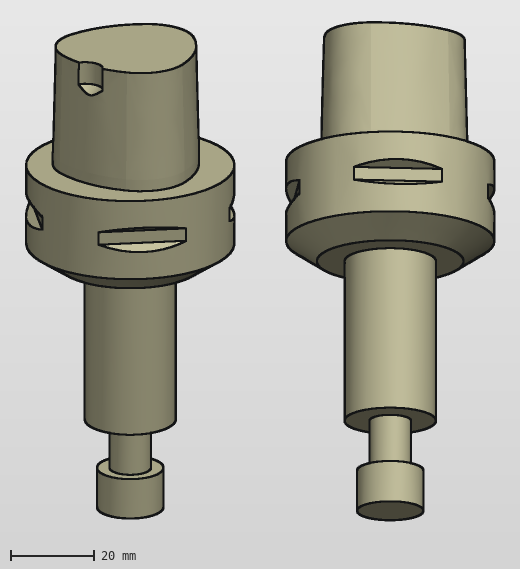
import cadquery as cq
import math

OVERALL_LENGTH = 117.5

SHANK_HEIGHT = 30.0
COLLAR_HEIGHT = 2.8
LOBE_RADIUS = 12.1
LOBE_OFFSET = 6.6
FLANK_REACH = 16.5
TAPER_PER_SIDE = 1 / 40

NOTCH_RADIUS = 4.2
NOTCH_DEPTH = 2.2
NOTCH_WALL_HEIGHT = 5.5
NOTCH_HALF_ANGLE = 52.0

FLANGE_DIAMETER = 50.0
FLANGE_RIM_HEIGHT = 20.0
FLANGE_HEIGHT = 25.0
FLANGE_BOTTOM_RADIUS = 17.6

SLOT_COUNT = 4
SLOT_DEPTH = 2.4
SLOT_FLOOR_HEIGHT = 3.2
SLOT_MOUTH_HEIGHT = 6.2
SLOT_CENTRE_Z = -FLANGE_RIM_HEIGHT / 2

BODY_DIAMETER = 22.0
BODY_END_Z = -65.0
NECK_DIAMETER = 10.0
HEAD_DIAMETER = 16.0
HEAD_HEIGHT = 10.1
NOSE_END_Z = SHANK_HEIGHT - OVERALL_LENGTH


def polar(radius, degrees):
    angle = math.radians(degrees)
    return radius * math.cos(angle), radius * math.sin(angle)


def lobed_outline(z, inset):
    """Closed outline of three lobe arcs joined tangentially by three flank arcs."""
    reach_difference = FLANK_REACH - LOBE_RADIUS
    flank_offset = (LOBE_OFFSET**2 - reach_difference**2) / (2 * reach_difference - LOBE_OFFSET)
    centre_spacing = reach_difference + flank_offset
    flank_lean = math.degrees(math.asin(LOBE_OFFSET * math.sin(math.pi / 3) / centre_spacing))
    normal_angle = 60 - flank_lean
    lobe_radius = LOBE_RADIUS - inset

    def lobe_point(lobe_angle, offset_angle):
        centre_x, centre_y = polar(LOBE_OFFSET, lobe_angle)
        dx, dy = polar(lobe_radius, lobe_angle + offset_angle)
        return centre_x + dx, centre_y + dy

    outline = cq.Workplane("XY", origin=(0, 0, z)).moveTo(*lobe_point(90, -normal_angle))
    for lobe_angle in (90, 210, 330):
        outline = outline.threePointArc(lobe_point(lobe_angle, 0), lobe_point(lobe_angle, normal_angle))
        flank_middle = polar(FLANK_REACH - inset, lobe_angle + 60)
        outline = outline.threePointArc(flank_middle, lobe_point(lobe_angle + 120, -normal_angle))
    return outline.close()


def make_shank():
    collar = lobed_outline(0, 0).extrude(COLLAR_HEIGHT)
    top_inset = (SHANK_HEIGHT - COLLAR_HEIGHT) * TAPER_PER_SIDE
    base_wire = lobed_outline(COLLAR_HEIGHT, 0).val()
    top_wire = lobed_outline(SHANK_HEIGHT, top_inset).val()
    taper = cq.Workplane(cq.Solid.makeLoft([base_wire, top_wire], True))
    notch_y = -(FLANK_REACH - top_inset - NOTCH_DEPTH + NOTCH_RADIUS)
    return collar.union(taper).cut(make_notch(notch_y))


def make_notch(axis_y):
    """Drill-shaped cutter: a cylinder ending in a cone."""
    tip_length = NOTCH_RADIUS / math.tan(math.radians(NOTCH_HALF_ANGLE))
    wall_end = -NOTCH_WALL_HEIGHT
    return (
        cq.Workplane("XZ", origin=(0, axis_y, SHANK_HEIGHT))
        .polyline([(0, 0), (NOTCH_RADIUS, 0), (NOTCH_RADIUS, wall_end), (0, wall_end - tip_length)])
        .close()
        .revolve(360, (0, 0, 0), (0, 1, 0))
    )


def make_turned_body():
    """Flange, body, neck and head revolved about Z."""
    head_top_z = NOSE_END_Z + HEAD_HEIGHT
    profile = [
        (0, 0),
        (FLANGE_DIAMETER / 2, 0),
        (FLANGE_DIAMETER / 2, -FLANGE_RIM_HEIGHT),
        (FLANGE_BOTTOM_RADIUS, -FLANGE_HEIGHT),
        (BODY_DIAMETER / 2, -FLANGE_HEIGHT),
        (BODY_DIAMETER / 2, BODY_END_Z),
        (NECK_DIAMETER / 2, BODY_END_Z),
        (NECK_DIAMETER / 2, head_top_z),
        (HEAD_DIAMETER / 2, head_top_z),
        (HEAD_DIAMETER / 2, NOSE_END_Z),
        (0, NOSE_END_Z),
    ]
    return cq.Workplane("XZ").polyline(profile).close().revolve(360, (0, 0, 0), (0, 1, 0))


def make_slot(angle):
    """Straight cutter with a flat floor and flared flanks, facing the given angle."""
    mouth_x = FLANGE_DIAMETER / 2
    floor_x = mouth_x - SLOT_DEPTH
    half_floor = SLOT_FLOOR_HEIGHT / 2
    half_mouth = SLOT_MOUTH_HEIGHT / 2
    section = [(floor_x, -half_floor), (mouth_x, -half_mouth), (mouth_x, half_mouth), (floor_x, half_floor)]
    return (
        cq.Workplane("XZ", origin=(0, 0, SLOT_CENTRE_Z))
        .polyline(section)
        .close()
        .extrude(FLANGE_DIAMETER / 2, both=True)
        .rotate((0, 0, 0), (0, 0, 1), angle)
    )


result = make_turned_body().union(make_shank())
slot_pitch = 360 / SLOT_COUNT
for slot_index in range(SLOT_COUNT):
    result = result.cut(make_slot((slot_index + 0.5) * slot_pitch))